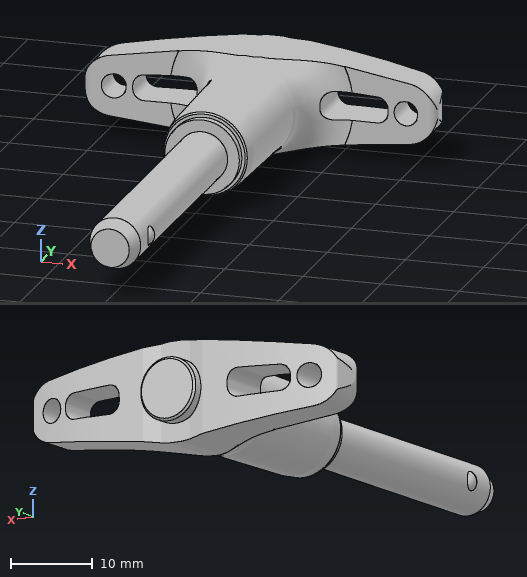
import cadquery as cq
import math

total_length = 70.1

handle_half_length = 45.2 / 2
handle_half_height = 12.7 / 2
center_flat_half = 1.0
end_radius = 3.9
end_center_x = handle_half_length - end_radius
cord_hole_radius = 1.55

slot_inner_x = 7.85
slot_outer_x = 16.3
slot_inner_half = 3.7 / 2
slot_outer_half = 1.6
slot_corner_radius = 1.5

back_center_y = 68.15
back_peak_y = 68.8
back_flat_half = 2.1
back_peak_x = 4.35
back_mid_x = 14.0
back_mid_y = 68.1
end_top_x = 22.1
end_top_y = 66.0
end_widest_y = 62.7
end_round = 1.2
end_top_round = 0.35

flare_radius = 5.2
flare_root_y = 63.1
neck_radius = 6.0
neck_y = 57.3
arm_slope = math.radians(5.9)
flare_center_radius = neck_radius + flare_radius
flare_top_radius = flare_center_radius + flare_radius * math.sin(arm_slope)
flare_top_y = neck_y + flare_radius * math.cos(arm_slope)
grip_top_radius = 5.9
grip_top_y = 56.6
grip_bottom_radius = 5.6
grip_bottom_y = 41.15
shoulder_radius = 5.4
shoulder_y = 39.0
shoulder_chamfer = 0.2
collar_radius = 4.8
collar_y = 37.9

front_end_y = flare_top_y - (handle_half_length - flare_top_radius) * math.tan(arm_slope)
front_root_y = flare_top_y + (flare_top_radius - neck_radius) * math.tan(arm_slope)

pin_radius = 6.5 / 2
tip_radius = 2.45
tip_length = 2.1
ball_radius = 1.4
ball_reach = 3.7
ball_y = 6.25
button_radius = 4.0
button_chamfer = 0.3
button_root_y = 66.6


def extrude_along_y(sketch):
    """Extrude an XZ outline over the whole length of the part."""
    return sketch.extrude(-total_length)


def make_plan():
    """Tapered handle outline with round ends, as a prism along Y."""
    dx = end_center_x - center_flat_half
    apex_distance = math.hypot(dx, handle_half_height)
    normal_angle = math.pi - math.acos(end_radius / apex_distance) - math.atan2(handle_half_height, dx)
    tx = end_center_x + end_radius * math.cos(normal_angle)
    tz = end_radius * math.sin(normal_angle)
    return extrude_along_y(
        cq.Workplane("XZ")
        .moveTo(-center_flat_half, handle_half_height)
        .lineTo(center_flat_half, handle_half_height)
        .lineTo(tx, tz)
        .threePointArc((handle_half_length, 0), (tx, -tz))
        .lineTo(center_flat_half, -handle_half_height)
        .lineTo(-center_flat_half, -handle_half_height)
        .lineTo(-tx, -tz)
        .threePointArc((-handle_half_length, 0), (-tx, tz))
        .close()
    )


def make_half_bar():
    """The +X half of the curved crossbar, cut square in Z."""
    bar = (
        cq.Workplane("XY")
        .moveTo(0, back_center_y)
        .lineTo(back_flat_half, back_center_y)
        .lineTo(back_peak_x, back_peak_y)
        .threePointArc((back_mid_x, back_mid_y), (end_top_x, end_top_y))
        .lineTo(handle_half_length, end_widest_y)
        .lineTo(handle_half_length, front_end_y)
        .lineTo(neck_radius, front_root_y)
        .lineTo(0, front_root_y)
        .close()
        .extrude(handle_half_height, both=True)
    )
    front_corner = cq.selectors.NearestToPointSelector((handle_half_length, front_end_y, 0))
    back_corner = cq.selectors.NearestToPointSelector((end_top_x, end_top_y, 0))
    return bar.edges(front_corner).fillet(end_round).edges(back_corner).fillet(end_top_round)


def make_flare():
    """Concave flare that blends the crossbar into the neck."""
    middle = flare_radius * math.sqrt(0.5)
    return (
        cq.Workplane("XY")
        .moveTo(0, neck_y)
        .lineTo(neck_radius, neck_y)
        .threePointArc((flare_center_radius - middle, neck_y + middle), (flare_top_radius, flare_top_y))
        .lineTo(flare_top_radius, flare_root_y)
        .lineTo(0, flare_root_y)
        .close()
        .revolve(360, (0, 0), (0, 1))
    )


def make_slot():
    """Slot through the +X arm, slightly narrower toward the end of the arm."""
    return extrude_along_y(
        cq.Workplane("XZ").polyline([
            (slot_inner_x, -slot_inner_half),
            (slot_outer_x, -slot_outer_half),
            (slot_outer_x, slot_outer_half),
            (slot_inner_x, slot_inner_half),
        ]).close()
    ).edges("|Y").fillet(slot_corner_radius)


def make_handle():
    """Crossbar and flare trimmed to the plan outline, with slots and cord holes."""
    half_bar = make_half_bar()
    bar = half_bar.union(half_bar.mirror("YZ")).union(make_flare())
    handle = bar.intersect(make_plan())
    slot = make_slot()
    holes = extrude_along_y(
        cq.Workplane("XZ").pushPoints([(-end_center_x, 0), (end_center_x, 0)]).circle(cord_hole_radius)
    )
    return handle.cut(slot).cut(slot.mirror("YZ")).cut(holes)


def make_core():
    """Pin, collar and grip as one turned body."""
    return (
        cq.Workplane("XY")
        .polyline([
            (0, 0),
            (tip_radius, 0),
            (pin_radius, tip_length),
            (pin_radius, collar_y),
            (collar_radius, collar_y),
            (collar_radius, shoulder_y),
            (shoulder_radius - shoulder_chamfer, shoulder_y),
            (shoulder_radius, shoulder_y + shoulder_chamfer),
            (grip_bottom_radius, grip_bottom_y),
            (grip_top_radius, grip_top_y),
            (neck_radius, neck_y),
            (0, neck_y),
        ])
        .close()
        .revolve(360, (0, 0), (0, 1))
    )


def make_button():
    """Push button on the pin axis at the back of the handle."""
    return (
        cq.Workplane("XZ", origin=(0, button_root_y, 0))
        .circle(button_radius)
        .extrude(button_root_y - total_length)
        .faces(">Y")
        .chamfer(button_chamfer)
    )


def make_ball(side):
    """Locking ball that bulges out of the pin on the given side of X."""
    ball_x = side * (ball_reach - ball_radius)
    return cq.Workplane("XY").sphere(ball_radius).translate((ball_x, ball_y, 0))


result = make_handle().union(make_core()).union(make_button())
for side in (-1, 1):
    result = result.union(make_ball(side))